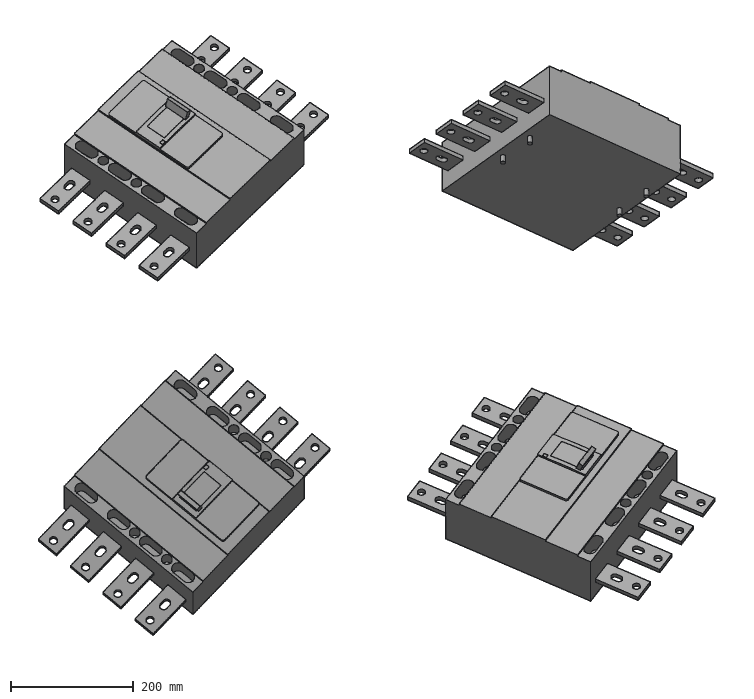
import cadquery as cq
import math

TOTAL_LENGTH = 433.0
BODY_WIDTH = 280.0
BODY_LENGTH = 272.5
POLE_PITCH = 70.0
POLE_XS = [(i - 1.5) * POLE_PITCH for i in range(4)]
SECOND_POLE_X = POLE_XS[1]

BODY_BOTTOM = 13.0
SHELF_TOP = 109.0
COVER_TOP = 112.0
COVER_LENGTH = 222.5
DECK_TOP = 115.0
DECK_LENGTH = 101.8

BAR_WIDTH = 39.5
BAR_LENGTH = (TOTAL_LENGTH - BODY_LENGTH) / 2
FRONT_BAR_BOTTOM = 48.0
FRONT_BAR_THICKNESS = 8.5
BACK_BAR_BOTTOM = 45.0
BACK_BAR_THICKNESS = 8.0
BAR_HOLE_DIAMETER = 13.0
BAR_HOLE_Y = 201.8
BAR_SLOT_LENGTH = 20.5
BAR_SLOT_Y = 165.0

RECESS_Y = 121.2
RECESS_DEPTH = 34.5
RECESS_FLOOR = SHELF_TOP - RECESS_DEPTH
POCKET_LENGTH = 42.5
POCKET_WIDTH = 20.5

HEAD_DIAMETER = 17.5
HEAD_HEIGHT = 7.0
HEAD_ROUNDING = 6.0
SHANK_DIAMETER = 8.2
SCREW_XS = [-POLE_PITCH, 0.0]

PLATE_WIDTH = 170.0
PLATE_LENGTH = 90.0
PLATE_X = -35.0
PLATE_Y = -5.0
PLATE_TOP = 119.5
PLATE_CORNER_RADIUS = 4.5
BRIDGE_WIDTH = 51.0
BRIDGE_TOP = 122.5
CROWN_RISE = 1.5
CROWN_LENGTH = 63.0
SADDLE_WIDTH = 36.5
SADDLE_LENGTH = 60.0
SADDLE_STEP = 0.5

BUTTON_WIDTH = 6.0
BUTTON_LENGTH = 7.5
BUTTON_DEPTH = 1.0
BUTTON_X = -14.0
BUTTON_Y = -38.0

HANDLE_WIDTH = 42.5
HANDLE_THICKNESS = 8.2
HANDLE_LENGTH = 20.0
HANDLE_TILT = 19.0
HANDLE_TOP_Y = 24.5
HANDLE_TOP_Z = 139.0


def block(width, length, bottom, top, x=0.0, y=0.0):
    """Upright box centred on (x, y) between two heights."""
    return cq.Workplane("XY", origin=(x, y, bottom)).rect(width, length).extrude(top - bottom)


def stepped_case():
    case = block(BODY_WIDTH, BODY_LENGTH, BODY_BOTTOM, SHELF_TOP)
    case = case.union(block(BODY_WIDTH, COVER_LENGTH, SHELF_TOP, COVER_TOP))
    return case.union(block(BODY_WIDTH, DECK_LENGTH, COVER_TOP, DECK_TOP))


def terminal_bars(side, bottom, thickness):
    """Row of drilled and slotted bars; side is +1 for the +Y end, -1 for the -Y end."""
    bar_y = side * (BODY_LENGTH + BAR_LENGTH) / 2
    plane = cq.Workplane("XY", origin=(0, 0, bottom))
    bars = plane.pushPoints([(x, bar_y) for x in POLE_XS]).rect(BAR_WIDTH, BAR_LENGTH).extrude(thickness)
    holes = (
        plane.pushPoints([(x, side * BAR_HOLE_Y) for x in POLE_XS])
        .circle(BAR_HOLE_DIAMETER / 2).extrude(thickness)
    )
    slots = (
        plane.pushPoints([(x, side * BAR_SLOT_Y) for x in POLE_XS])
        .slot2D(BAR_SLOT_LENGTH, BAR_HOLE_DIAMETER, 90).extrude(thickness)
    )
    return bars.cut(holes).cut(slots)


def terminal_pockets():
    """Obround access pockets, one per terminal, in both end shelves."""
    centres = [(x, side * RECESS_Y) for x in POLE_XS for side in (-1, 1)]
    return (
        cq.Workplane("XY", origin=(0, 0, RECESS_FLOOR))
        .pushPoints(centres).slot2D(POCKET_LENGTH, POCKET_WIDTH).extrude(RECESS_DEPTH)
    )


def screw_positions():
    return [(x, side * RECESS_Y) for x in SCREW_XS for side in (-1, 1)]


def screw_holes():
    """Counterbored holes through the full height of the case."""
    bores = (
        cq.Workplane("XY", origin=(0, 0, RECESS_FLOOR))
        .pushPoints(screw_positions()).circle(HEAD_DIAMETER / 2).extrude(RECESS_DEPTH)
    )
    clearances = (
        cq.Workplane("XY", origin=(0, 0, BODY_BOTTOM))
        .pushPoints(screw_positions()).circle(SHANK_DIAMETER / 2).extrude(RECESS_FLOOR - BODY_BOTTOM)
    )
    return bores.union(clearances)


def crown(width, length, edge_z):
    """Shallow arched strip across the bridge, its axis along X."""
    half_length = length / 2
    return (
        cq.Workplane("YZ", origin=(SECOND_POLE_X - width / 2, 0, 0))
        .moveTo(-half_length, PLATE_TOP)
        .lineTo(-half_length, edge_z)
        .threePointArc((0, edge_z + CROWN_RISE), (half_length, edge_z))
        .lineTo(half_length, PLATE_TOP)
        .close()
        .extrude(width)
    )


def escutcheon():
    plate = block(PLATE_WIDTH, PLATE_LENGTH, DECK_TOP, PLATE_TOP, PLATE_X, PLATE_Y)
    plate = plate.edges("|Z").fillet(PLATE_CORNER_RADIUS)
    bridge = block(BRIDGE_WIDTH, PLATE_LENGTH, DECK_TOP, BRIDGE_TOP, SECOND_POLE_X, PLATE_Y)
    button = block(BUTTON_WIDTH, BUTTON_LENGTH, BRIDGE_TOP - BUTTON_DEPTH, BRIDGE_TOP, BUTTON_X, BUTTON_Y)
    saddle = crown(SADDLE_WIDTH, SADDLE_LENGTH, BRIDGE_TOP + SADDLE_STEP)
    return plate.union(bridge).cut(button).union(crown(BRIDGE_WIDTH, CROWN_LENGTH, BRIDGE_TOP)).union(saddle)


def toggle_handle():
    """Tilted rectangular lever drawn from its highest edge down into the bridge."""
    tilt = math.radians(HANDLE_TILT)
    across_y = HANDLE_THICKNESS * math.cos(tilt)
    across_z = -HANDLE_THICKNESS * math.sin(tilt)
    down_y = -HANDLE_LENGTH * math.sin(tilt)
    down_z = -HANDLE_LENGTH * math.cos(tilt)
    return (
        cq.Workplane("YZ", origin=(SECOND_POLE_X - HANDLE_WIDTH / 2, 0, 0))
        .moveTo(HANDLE_TOP_Y, HANDLE_TOP_Z)
        .line(across_y, across_z)
        .line(down_y, down_z)
        .line(-across_y, -across_z)
        .close()
        .extrude(HANDLE_WIDTH)
    )


def make_housing():
    housing = stepped_case().union(escutcheon()).union(toggle_handle())
    housing = housing.union(terminal_bars(-1, FRONT_BAR_BOTTOM, FRONT_BAR_THICKNESS))
    housing = housing.union(terminal_bars(1, BACK_BAR_BOTTOM, BACK_BAR_THICKNESS))
    return housing.cut(terminal_pockets()).cut(screw_holes())


def make_screw(x, y):
    """Round-headed screw seated on the counterbore floor, its tip below the case."""
    shank = cq.Workplane("XY", origin=(x, y, 0)).circle(SHANK_DIAMETER / 2).extrude(RECESS_FLOOR)
    head = (
        cq.Workplane("XY", origin=(x, y, RECESS_FLOOR))
        .circle(HEAD_DIAMETER / 2).extrude(HEAD_HEIGHT)
        .faces(">Z").edges().fillet(HEAD_ROUNDING)
    )
    return shank.union(head)


housing = make_housing()
screws = [make_screw(x, y) for x, y in screw_positions()]

result = cq.Compound.makeCompound([housing.val(), *[screw.val() for screw in screws]])